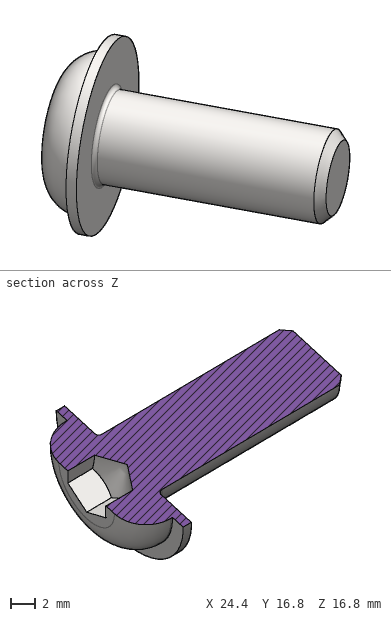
import cadquery as cq
import math

total_length = 24.4
head_height = 4.4
flange_diameter = 16.8
flange_thickness = 0.9
dome_diameter = 14.0
dome_face_diameter = 7.32
dome_rim_height = 0.15
shank_diameter = 8.0
tip_chamfer = 0.8
neck_fillet = 0.4
hex_across_flats = 5.0
corner_depth = 2.6
floor_cone_angle = 120.0

flange_radius = flange_diameter / 2
dome_radius = dome_diameter / 2
face_radius = dome_face_diameter / 2
shank_radius = shank_diameter / 2
flange_start = head_height - flange_thickness
dome_end = flange_start - dome_rim_height
hex_corner_diameter = hex_across_flats / math.cos(math.radians(30))


def dome_midpoint():
    """Middle of the quarter-round dome outline between face and rim."""
    diagonal = math.sqrt(0.5)
    x = dome_end * (1 - diagonal)
    radius = face_radius + (dome_radius - face_radius) * diagonal
    return x, radius


def neck_midpoint():
    """Middle of the concave fillet between flange and shank."""
    offset = neck_fillet * (1 - math.sqrt(0.5))
    return head_height + offset, shank_radius + offset


def screw_body():
    """Head, flange and shank revolved from one half outline."""
    outline = (
        cq.Workplane("XY")
        .lineTo(0, face_radius)
        .threePointArc(dome_midpoint(), (dome_end, dome_radius))
        .lineTo(flange_start, dome_radius)
        .lineTo(flange_start, flange_radius)
        .lineTo(head_height, flange_radius)
        .lineTo(head_height, shank_radius + neck_fillet)
        .threePointArc(neck_midpoint(), (head_height + neck_fillet, shank_radius))
        .lineTo(total_length - tip_chamfer, shank_radius)
        .lineTo(total_length, shank_radius - tip_chamfer)
        .lineTo(total_length, 0)
        .close()
    )
    return outline.revolve(360, (0, 0, 0), (1, 0, 0))


def hex_socket():
    """Hexagonal socket with two corners on the Z axis and a conical floor."""
    cone_radius = hex_corner_diameter / 2
    cone_height = cone_radius / math.tan(math.radians(floor_cone_angle / 2))
    prism = (
        cq.Workplane("YZ")
        .transformed(rotate=(0, 0, 90))
        .polygon(6, hex_corner_diameter)
        .extrude(corner_depth + cone_height)
    )
    cutter = (
        cq.Workplane("XY")
        .lineTo(0, cone_radius)
        .lineTo(corner_depth, cone_radius)
        .lineTo(corner_depth + cone_height, 0)
        .close()
        .revolve(360, (0, 0, 0), (1, 0, 0))
    )
    return prism.intersect(cutter)


result = screw_body().cut(hex_socket())